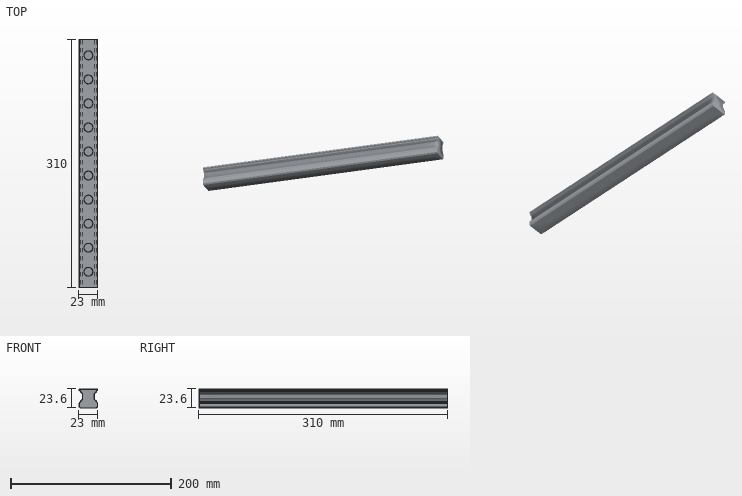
import cadquery as cq

rail_width = 23.0
rail_length = 310.0
rail_height = 23.6

half_width = rail_width / 2
web_half_width = 7.4
shoulder_half_width = 9.8

lower_ramp_start = 11.1
upper_ramp_start = 17.5
ramp_size = shoulder_half_width - web_half_width

lower_flank_start = 7.8
lower_flank_size = 1.57
upper_flank_start = 20.8
upper_flank_size = 1.2

foot_chamfer = 1.5
foot_side_top = 5.9
head_side_bottom = upper_flank_start + upper_flank_size
head_chamfer = 0.4

cap_diameter = 11.0
cap_recess_depth = 0.1
cap_count = 10
cap_pitch = 30.0
first_cap_y = -(cap_count - 1) * cap_pitch / 2


def make_rail():
    """Constant cross-section, symmetric about the YZ plane and centred along Y."""
    right_side = [
        (half_width - foot_chamfer, 0),
        (half_width, foot_chamfer),
        (half_width, foot_side_top),
        (shoulder_half_width + lower_flank_size, lower_flank_start - lower_flank_size),
        (shoulder_half_width, lower_flank_start),
        (shoulder_half_width, lower_ramp_start - ramp_size),
        (web_half_width, lower_ramp_start),
        (web_half_width, upper_ramp_start),
        (shoulder_half_width, upper_ramp_start + ramp_size),
        (shoulder_half_width, upper_flank_start),
        (shoulder_half_width + upper_flank_size, head_side_bottom),
        (half_width, head_side_bottom),
        (half_width, rail_height - head_chamfer),
        (half_width - head_chamfer, rail_height),
    ]
    left_side = [(-x, z) for x, z in reversed(right_side)]
    return (
        cq.Workplane("XZ")
        .polyline(right_side + left_side)
        .close()
        .extrude(rail_length / 2, both=True)
    )


def make_cap_recesses():
    """Row of shallow discs just below the top face, evenly spaced along Y."""
    centres = [(0, first_cap_y + i * cap_pitch) for i in range(cap_count)]
    return (
        cq.Workplane("XY")
        .workplane(offset=rail_height - cap_recess_depth)
        .pushPoints(centres)
        .circle(cap_diameter / 2)
        .extrude(cap_recess_depth)
    )


result = make_rail().cut(make_cap_recesses())